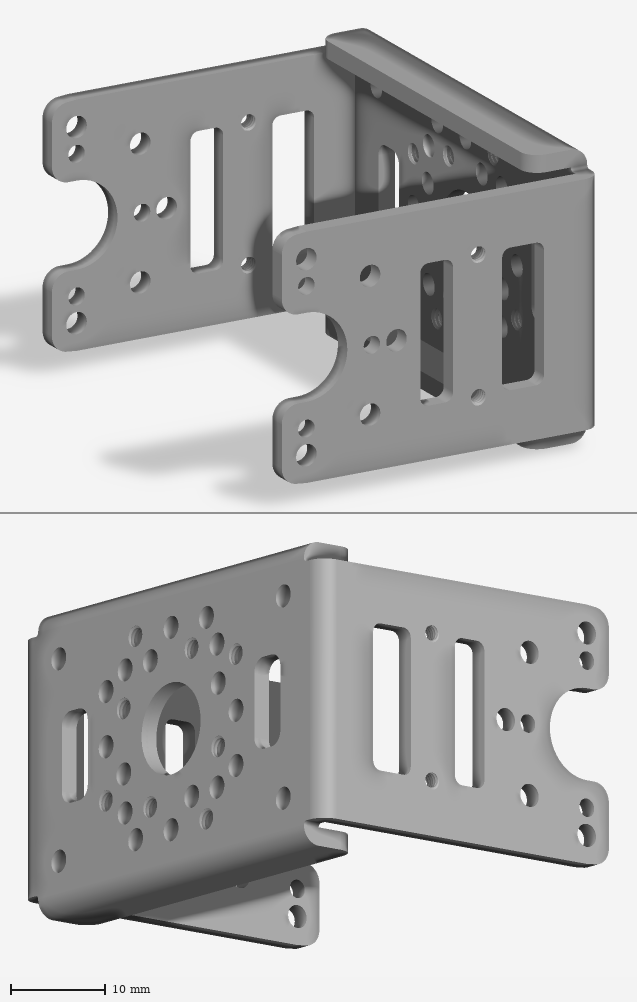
import cadquery as cq
import math


thickness = 2.0
bend_radius = thickness
corner_radius = 2.0
width = 51.0
length = 39.0
height = 33.0

half_width = width / 2
lip_outer_z = height / 2
lip_inner_z = lip_outer_z - thickness
lip_half_length = 22.5
lip_depth = 7.0
arm_half_height = 14.1
arm_tip_half_height = 14.0
relief_radius = lip_inner_z - arm_half_height

clear_dia = 2.5
pin_dia = 2.0
plate_thread = {"minor": 2.08, "major": 2.58, "pitch": 0.45, "start_angle": 75.0}
arm_thread = {"minor": 1.62, "major": 2.07, "pitch": 0.4, "start_angle": 0.0}
ridge_root_share = 0.85
ridge_crest_share = 0.125
ridge_overlap = 0.02

bore_dia = 10.0
pattern_radius = 11.0
outer_pair_offset = 6.0
inner_pair_far = 8.0
inner_pair_near = 3.5
corner_hole_x = 19.0
plate_slot_x = 16.3
plate_slot_width = 4.4
plate_slot_height = 10.0
plate_slot_radius = 1.5

axis_reach = length - 3.0
notch_radius = 5.0
pin_circle_radius = 8.0
arm_slot_height = 16.0
arm_slot_radius = 1.0
arm_slots = ((7.0, 12.1), (18.1, 22.1))
tapped_reach = 15.0
tapped_z = arm_slot_height / 2

diagonal = pattern_radius / math.sqrt(2)
cut_margin = 1.0


def plate_hole(x, z, diameter):
    """Cylinder through the back plate."""
    start = cq.Vector(x, cut_margin, z)
    return cq.Solid.makeCylinder(diameter / 2, thickness + 2 * cut_margin, start, cq.Vector(0, -1, 0))


def arm_hole(reach, z, diameter):
    """Cylinder through both arms."""
    start = cq.Vector(-half_width - cut_margin, -reach, z)
    return cq.Solid.makeCylinder(diameter / 2, width + 2 * cut_margin, start, cq.Vector(1, 0, 0))


def thread_cutter(thread):
    """Tap shape along +Z: a core at the minor diameter carrying a helical V ridge."""
    pitch = thread["pitch"]
    minor_radius = thread["minor"] / 2
    major_radius = thread["major"] / 2
    root_radius = minor_radius - ridge_overlap
    half_root = ridge_root_share * pitch / 2
    half_crest = ridge_crest_share * pitch / 2
    helix = cq.Wire.makeHelix(pitch, thickness + 2 * pitch, minor_radius)
    ridge = (
        cq.Workplane("XZ")
        .moveTo(root_radius, -half_root)
        .lineTo(major_radius, -half_crest)
        .lineTo(major_radius, half_crest)
        .lineTo(root_radius, half_root)
        .close()
        .sweep(cq.Workplane(helix), isFrenet=True)
        .translate((0, 0, -pitch))
    )
    core = (
        cq.Workplane("XY")
        .workplane(offset=-2 * pitch)
        .circle(minor_radius)
        .extrude(thickness + 4 * pitch)
    )
    cutter = core.union(ridge, clean=False)
    return cutter.rotate((0, 0, 0), (0, 0, 1), thread["start_angle"])


def make_back_plate():
    """Back plate with its bent ends, necked at the four corner reliefs."""
    plate = (
        cq.Workplane("XY")
        .workplane(offset=-arm_half_height)
        .moveTo(-half_width, -thickness)
        .radiusArc((bend_radius - half_width, 0), bend_radius)
        .lineTo(half_width - bend_radius, 0)
        .radiusArc((half_width, -thickness), bend_radius)
        .close()
        .extrude(2 * arm_half_height)
    )
    neck_half_length = lip_half_length + relief_radius
    neck = (
        cq.Workplane("XZ")
        .moveTo(-neck_half_length, -arm_half_height)
        .lineTo(-neck_half_length, arm_half_height)
        .radiusArc((-lip_half_length, lip_inner_z), -relief_radius)
        .lineTo(lip_half_length, lip_inner_z)
        .radiusArc((neck_half_length, arm_half_height), -relief_radius)
        .lineTo(neck_half_length, -arm_half_height)
        .radiusArc((lip_half_length, -lip_inner_z), -relief_radius)
        .lineTo(-lip_half_length, -lip_inner_z)
        .radiusArc((-neck_half_length, -arm_half_height), -relief_radius)
        .close()
        .extrude(thickness)
    )
    return plate.union(neck)


def make_lip():
    """Upper lip, bent forward from the back plate."""
    lip = (
        cq.Workplane("YZ")
        .moveTo(0, lip_inner_z)
        .radiusArc((-bend_radius, lip_outer_z), -bend_radius)
        .lineTo(-lip_depth, lip_outer_z)
        .lineTo(-lip_depth, lip_inner_z)
        .close()
        .extrude(lip_half_length, both=True)
    )
    return lip.edges("|Z and <Y").fillet(corner_radius)


def make_arm():
    """Left arm with rounded tips and the open shaft notch."""
    round_reach = length - corner_radius
    outer_round_z = arm_tip_half_height - corner_radius
    inner_round_z = notch_radius + corner_radius
    return (
        cq.Workplane("YZ")
        .workplane(offset=-half_width)
        .moveTo(-thickness, -arm_half_height)
        .lineTo(-axis_reach, -arm_half_height)
        .lineTo(-round_reach, -arm_tip_half_height)
        .radiusArc((-length, -outer_round_z), corner_radius)
        .lineTo(-length, -inner_round_z)
        .radiusArc((-round_reach, -notch_radius), corner_radius)
        .lineTo(-axis_reach, -notch_radius)
        .threePointArc((notch_radius - axis_reach, 0), (-axis_reach, notch_radius))
        .lineTo(-round_reach, notch_radius)
        .radiusArc((-length, inner_round_z), corner_radius)
        .lineTo(-length, outer_round_z)
        .radiusArc((-round_reach, arm_tip_half_height), corner_radius)
        .lineTo(-axis_reach, arm_half_height)
        .lineTo(-thickness, arm_half_height)
        .close()
        .extrude(thickness)
    )


def cut_plate_pattern(body):
    """Central bore, clearance holes and slots of the back plate."""
    points = []
    for side in (1, -1):
        points += [(side * pattern_radius, 0), (0, side * pattern_radius)]
        points += [(side * diagonal, side * diagonal), (side * diagonal, -side * diagonal)]
        points += [(side * corner_hole_x, pattern_radius), (side * corner_hole_x, -pattern_radius)]
        points.append((side * pattern_radius, side * outer_pair_offset))
        points.append((side * outer_pair_offset, -side * pattern_radius))
        points.append((side * inner_pair_near, side * inner_pair_far))
        points.append((side * inner_pair_far, -side * inner_pair_near))
    holes = [plate_hole(x, z, clear_dia) for x, z in points]
    holes.append(plate_hole(0, 0, bore_dia))
    body = body.cut(cq.Workplane(cq.Compound.makeCompound(holes)))
    slots = (
        cq.Workplane("XZ")
        .pushPoints([(-plate_slot_x, 0), (plate_slot_x, 0)])
        .rect(plate_slot_width, plate_slot_height)
        .extrude(thickness)
        .edges("|Y")
        .fillet(plate_slot_radius)
    )
    return body.cut(slots)


def cut_arm_pattern(body):
    """Clearance holes, pin holes and slots through both arms."""
    holes = [
        arm_hole(axis_reach - pattern_radius, 0, clear_dia),
        arm_hole(axis_reach - pin_circle_radius, 0, pin_dia),
    ]
    for side in (1, -1):
        holes.append(arm_hole(axis_reach - diagonal, side * diagonal, clear_dia))
        holes.append(arm_hole(axis_reach, side * pattern_radius, clear_dia))
        holes.append(arm_hole(axis_reach, side * pin_circle_radius, pin_dia))
    body = body.cut(cq.Workplane(cq.Compound.makeCompound(holes)))
    for start, end in arm_slots:
        slot = (
            cq.Workplane("XY")
            .box(width, end - start, arm_slot_height)
            .edges("|X")
            .fillet(arm_slot_radius)
            .translate((0, -(start + end) / 2, 0))
        )
        body = body.cut(slot)
    return body


def cut_threads(body):
    """Eight tapped holes in the back plate and two in each arm."""
    plate_tap = thread_cutter(plate_thread).rotate((0, 0, 0), (1, 0, 0), 90)
    arm_tap = thread_cutter(arm_thread).rotate((0, 0, 0), (0, 1, 0), 90)
    taps = []
    for side in (1, -1):
        plate_points = [
            (side * outer_pair_offset, side * pattern_radius),
            (side * pattern_radius, -side * outer_pair_offset),
            (side * inner_pair_far, side * inner_pair_near),
            (side * inner_pair_near, -side * inner_pair_far),
        ]
        taps += [plate_tap.translate((x, 0, z)) for x, z in plate_points]
        for arm_x in (-half_width, half_width - thickness):
            taps.append(arm_tap.translate((arm_x, -tapped_reach, side * tapped_z)))
    return cq.Workplane(body.val().cut(*[tap.val() for tap in taps])).solids()


lip = make_lip()
arm = make_arm()
result = make_back_plate()
result = result.union(lip).union(lip.mirror("XY"))
result = result.union(arm).union(arm.mirror("YZ"))
result = cut_plate_pattern(result)
result = cut_arm_pattern(result)
result = cut_threads(result)